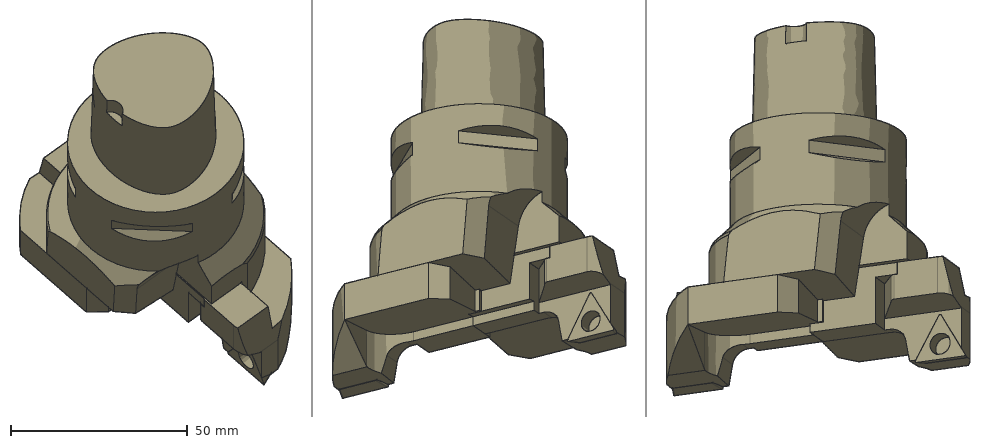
import cadquery as cq
import math

TOTAL_HEIGHT = 100.0
REACH_X = 45.0
BIG = 120.0

FLANGE_Z = 70.0
SHANK_HEIGHT = TOTAL_HEIGHT - FLANGE_Z
SHANK_BASE_RADIUS = 17.7
SHANK_TOP_RADIUS = 17.0
LOBE_HEIGHT = 1.1
SHANK_POINTS = 48
NOTCH_RADIUS = 3.6
NOTCH_CENTER_Y = -17.4
NOTCH_DEPTH = 5.4

FLANGE_RADIUS = 25.0
FLANGE_BOTTOM_Z = 42.7
CONE_BOTTOM_Z = 37.1
CONE_RADIUS = FLANGE_RADIUS + FLANGE_BOTTOM_Z - CONE_BOTTOM_Z
BODY_RADIUS = 31.0
BODY_TOP_Z = 36.0
SIDE_FLAT_X = 30.0
SEAT_OUTER_Y = 25.0
SEAT_OUTER_Z = 22.6
SEAT_INNER_Z = 19.9
BODY_WIDTH_Y = 53.9
FRONT_FLAT_TOP_Y = BODY_WIDTH_Y / 2
FRONT_FLAT_TOP_Z = FLANGE_RADIUS + FLANGE_BOTTOM_Z - FRONT_FLAT_TOP_Y

GRIPPER_COUNT = 4
GRIPPER_FLOOR_RADIUS = 22.2
GRIPPER_Z = 60.0
GRIPPER_FLOOR_HEIGHT = 3.7
GRIPPER_MOUTH_HEIGHT = 6.9

FLUTE_WALL_X = 16.5
FLUTE_WALL_SLOPE = 0.16
FLUTE_TOP_X = 24.6
FLUTE_TOP_Z = 46.1
BEVEL = 4.5

KEY_HALF_WIDTH = 5.8
KEY_TOP_Z = 28.3
KEY_CLEARANCE = 0.7

SLIDE_OUTER_X = 43.9
SLIDE_TOP_X = 41.0
SLIDE_LEAN_Z = 14.7
PAD_FRONT_Y = -6.0
CORNER_START_X = 39.4
CORNER_END_Y = -3.6
WING_ARC_START_Y = 6.9
WING_ARC_MID = (37.4, 17.6)
WING_FRONT_X = 29.4
WING_END_X = -2.8
WING_END_CHAMFER = 4.5
WING_TOE_X = -4.2
WING_TOE_Y = 6.8
WING_BOTTOM_OUTER_Z = 11.4
WING_BOTTOM_INNER_Z = 13.8
LEG_BOTTOM_Z = 0.7
LEG_BEVEL_Y = 12.9
LEG_BEVEL_Z = 1.4
ARCH_TOP_Z = 11.0
ARCH_TOP_X = 26.0
ARCH_FOOT_X = 28.0
ARCH_FILLET = 5.0
RELIEF_INNER_Y = 3.3
RELIEF_CORNER_RADIUS = 9.7
PAD_START_X = 27.0

POCKET_X = 20.2
POCKET_ROOF_INNER_Z = 14.4
POCKET_ROOF_OUTER_Z = 17.4
LIP_START = (24.6, -5.0)
LIP_MID = (25.2, -5.7)
LIP_END_X = 26.0
POCKET_GROOVE_TOP_Z = 24.8

INSERT_THICKNESS = 4.1
INSERT_INRADIUS = 4.6
INSERT_CORNER_RADIUS = 0.4
INSERT_RELIEF = 11.0
INSERT_HOLE_DIAMETER = 6.2
INSERT_SIDE = 2 * math.sqrt(3) * INSERT_INRADIUS
INSERT_X = REACH_X - INSERT_SIDE / 2 + INSERT_CORNER_RADIUS * (math.sqrt(3) - 1)
CUTTING_FACE_Y = 0.7


def turned(shape, angle):
    """Return the shape turned by an angle in degrees about the tool axis."""
    return shape.rotate((0, 0, 0), (0, 0, 1), angle)


def along_x(points, start, end):
    """Prism along X from a list of (y, z) points."""
    return cq.Workplane("YZ").workplane(offset=start).polyline(points).close().extrude(end - start)


def along_y(profile, start, end):
    """Prism along Y from a closed sketch of (x, z) points on the XZ plane."""
    return profile.extrude(start - end).translate((0, start, 0))


def block(x_range, y_range, z_range):
    """Axis-aligned block between the given limits."""
    size = [high - low for low, high in (x_range, y_range, z_range)]
    corner = (x_range[0], y_range[0], z_range[0])
    return cq.Workplane("XY").box(*size, centered=False).translate(corner)


def lobed_point(radius, angle):
    """Point on the three-lobed outline, one lobe towards +Y."""
    phase = 3 * (angle - math.pi / 2)
    support = radius + LOBE_HEIGHT * math.cos(phase)
    slope = -3 * LOBE_HEIGHT * math.sin(phase)
    x = support * math.cos(angle) - slope * math.sin(angle)
    y = support * math.sin(angle) + slope * math.cos(angle)
    return (x, y)


def lobed_outline(radius):
    return [lobed_point(radius, 2 * math.pi * i / SHANK_POINTS) for i in range(SHANK_POINTS)]


def make_shank():
    shank = (
        cq.Workplane("XY", origin=(0, 0, FLANGE_Z))
        .spline(lobed_outline(SHANK_BASE_RADIUS), periodic=True).close()
        .workplane(offset=SHANK_HEIGHT)
        .spline(lobed_outline(SHANK_TOP_RADIUS), periodic=True).close()
        .loft(ruled=True)
    )
    notch = (
        cq.Workplane("XY", origin=(0, NOTCH_CENTER_Y, TOTAL_HEIGHT - NOTCH_DEPTH))
        .circle(NOTCH_RADIUS).extrude(NOTCH_DEPTH)
    )
    return shank.cut(notch)


def make_turned_body():
    profile = [
        (0, FLANGE_Z),
        (FLANGE_RADIUS, FLANGE_Z),
        (FLANGE_RADIUS, FLANGE_BOTTOM_Z),
        (CONE_RADIUS, CONE_BOTTOM_Z),
        (BODY_RADIUS, BODY_TOP_Z),
        (BODY_RADIUS, 0),
        (0, 0),
    ]
    return cq.Workplane("XZ").polyline(profile).close().revolve(360, (0, 0, 0), (0, 1, 0))


def front_flat_y(z):
    """Half width between the two leaning flats at height z."""
    slope = (FRONT_FLAT_TOP_Y - SEAT_OUTER_Y) / (FRONT_FLAT_TOP_Z - SEAT_OUTER_Z)
    return SEAT_OUTER_Y + slope * (z - SEAT_OUTER_Z)


def make_side_envelope():
    """Prism with the side flats, leaning front flats, V-shaped seat and key slot."""
    slot_top = KEY_TOP_Z + KEY_CLEARANCE
    half = [
        (KEY_HALF_WIDTH, slot_top),
        (KEY_HALF_WIDTH, SEAT_INNER_Z),
        (SEAT_OUTER_Y, SEAT_OUTER_Z),
        (front_flat_y(FLANGE_Z), FLANGE_Z),
    ]
    mirrored = [(-y, z) for y, z in reversed(half)]
    return along_x(half + mirrored, -SIDE_FLAT_X, SIDE_FLAT_X)


def make_gripper_groove():
    """Straight trapezoidal groove across the +X side of the flange."""
    floor = GRIPPER_FLOOR_HEIGHT / 2
    mouth = GRIPPER_MOUTH_HEIGHT / 2
    profile = (
        cq.Workplane("XZ")
        .polyline([
            (GRIPPER_FLOOR_RADIUS, GRIPPER_Z - floor),
            (FLANGE_RADIUS, GRIPPER_Z - mouth),
            (FLANGE_RADIUS, GRIPPER_Z + mouth),
            (GRIPPER_FLOOR_RADIUS, GRIPPER_Z + floor),
        ]).close()
    )
    return along_y(profile, -FLANGE_RADIUS, FLANGE_RADIUS)


def flute_wall_x(z):
    return FLUTE_WALL_X + FLUTE_WALL_SLOPE * (z - CONE_BOTTOM_Z)


def make_flute():
    """Chip flute on the +X, -Y side: a leaning wall that curves out at the top."""
    profile = (
        cq.Workplane("XZ")
        .moveTo(flute_wall_x(0), 0)
        .lineTo(FLUTE_WALL_X, CONE_BOTTOM_Z)
        .tangentArcPoint((FLUTE_TOP_X, FLUTE_TOP_Z), relative=False)
        .lineTo(BIG, FLUTE_TOP_Z)
        .lineTo(BIG, 0)
        .close()
    )
    return along_y(profile, -BIG, -KEY_HALF_WIDTH)


def make_flute_bevel():
    """Leaning triangular prism that bevels the flute wall into the front flat."""
    height = FLANGE_BOTTOM_Z
    corner_x = flute_wall_x(0)
    corner_y = -front_flat_y(0)
    lean = cq.Vector(
        flute_wall_x(height) - corner_x,
        -front_flat_y(height) - corner_y,
        height,
    )
    triangle = cq.Wire.makePolygon(
        [
            cq.Vector(corner_x - 2 * BEVEL, corner_y - BEVEL, 0),
            cq.Vector(corner_x + BEVEL, corner_y + 2 * BEVEL, 0),
            cq.Vector(corner_x + BEVEL, corner_y - BEVEL, 0),
        ],
        close=True,
    )
    return cq.Workplane(cq.Solid.extrudeLinear(triangle, [], lean))


def make_holder():
    holder = make_turned_body().intersect(make_side_envelope())
    groove = make_gripper_groove()
    for i in range(GRIPPER_COUNT):
        angle = (i + 0.5) * 360 / GRIPPER_COUNT
        holder = holder.cut(turned(groove, angle))
    for cutter in (make_flute(), make_flute_bevel()):
        holder = holder.cut(cutter).cut(turned(cutter, 180))
    return holder.union(make_shank())


def make_insert_blank(face_y):
    """Triangular insert without its hole, cutting face at face_y looking to -Y."""
    half = INSERT_SIDE / 2
    apex = 3 * INSERT_INRADIUS
    return (
        cq.Workplane("XZ", origin=(INSERT_X, face_y, 0))
        .polyline([(-half, 0), (half, 0), (0, apex)]).close()
        .extrude(-INSERT_THICKNESS, taper=INSERT_RELIEF)
        .edges("not #Y").fillet(INSERT_CORNER_RADIUS)
    )


def make_insert(face_y):
    hole = (
        cq.Workplane("XZ", origin=(INSERT_X, face_y, INSERT_INRADIUS))
        .circle(INSERT_HOLE_DIAMETER / 2).extrude(-INSERT_THICKNESS)
    )
    return make_insert_blank(face_y).cut(hole)


def make_slide_blank():
    """Slide on the +X side: plan outline trimmed by its YZ section."""
    plan = (
        cq.Workplane("XY")
        .moveTo(0, PAD_FRONT_Y)
        .lineTo(CORNER_START_X, PAD_FRONT_Y)
        .tangentArcPoint((SLIDE_OUTER_X, CORNER_END_Y), relative=False)
        .lineTo(SLIDE_OUTER_X, WING_ARC_START_Y)
        .threePointArc(WING_ARC_MID, (WING_FRONT_X, SEAT_OUTER_Y))
        .lineTo(WING_END_X + WING_END_CHAMFER, SEAT_OUTER_Y)
        .lineTo(WING_END_X, SEAT_OUTER_Y - WING_END_CHAMFER)
        .lineTo(WING_END_X, WING_TOE_Y)
        .lineTo(WING_TOE_X, WING_TOE_Y)
        .lineTo(WING_TOE_X, KEY_HALF_WIDTH)
        .lineTo(0, KEY_HALF_WIDTH)
        .close()
        .extrude(KEY_TOP_Z)
    )
    section = [
        (PAD_FRONT_Y, KEY_TOP_Z),
        (KEY_HALF_WIDTH, KEY_TOP_Z),
        (KEY_HALF_WIDTH, SEAT_INNER_Z),
        (SEAT_OUTER_Y, SEAT_OUTER_Z),
        (SEAT_OUTER_Y, WING_BOTTOM_OUTER_Z),
        (LEG_BEVEL_Y, LEG_BEVEL_Z),
        (0, LEG_BOTTOM_Z),
        (PAD_FRONT_Y, LEG_BOTTOM_Z),
    ]
    return plan.intersect(along_x(section, -BIG, BIG))


def make_outer_lean():
    """Wedge that makes the outer end of the slide lean inwards."""
    profile = (
        cq.Workplane("XZ")
        .polyline([
            (SLIDE_OUTER_X, SLIDE_LEAN_Z),
            (SLIDE_TOP_X, KEY_TOP_Z),
            (BIG, KEY_TOP_Z),
            (BIG, SLIDE_LEAN_Z),
        ]).close()
    )
    return along_y(profile, -BIG, BIG)


def make_arch():
    """Arched opening between the legs."""
    profile = (
        cq.Workplane("XZ")
        .polyline([(-BIG, 0), (-BIG, ARCH_TOP_Z), (ARCH_TOP_X, ARCH_TOP_Z), (ARCH_FOOT_X, 0)]).close()
    )
    ceiling_edge = cq.selectors.NearestToPointSelector((ARCH_TOP_X, 0, ARCH_TOP_Z))
    return along_y(profile, -BIG, BIG).edges(ceiling_edge).fillet(ARCH_FILLET)


def make_wing_relief():
    """Space under the wing, milled up to the leg with a round inner corner."""
    corner_x = WING_FRONT_X - RELIEF_CORNER_RADIUS
    corner_y = RELIEF_INNER_Y + RELIEF_CORNER_RADIUS
    plan = (
        cq.Workplane("XY")
        .moveTo(-BIG, RELIEF_INNER_Y)
        .lineTo(corner_x, RELIEF_INNER_Y)
        .tangentArcPoint((WING_FRONT_X, corner_y), relative=False)
        .lineTo(WING_FRONT_X, SEAT_OUTER_Y)
        .lineTo(-BIG, SEAT_OUTER_Y)
        .close()
        .extrude(WING_BOTTOM_INNER_Z)
    )
    section = [
        (RELIEF_INNER_Y, 0),
        (RELIEF_INNER_Y, WING_BOTTOM_INNER_Z),
        (SEAT_OUTER_Y, WING_BOTTOM_OUTER_Z),
        (SEAT_OUTER_Y, 0),
    ]
    return plan.intersect(along_x(section, -BIG, BIG))


def make_chip_pocket(face_y):
    """Pocket in front of the cutting face, with a sloping roof."""
    roof = [
        (PAD_FRONT_Y, 0),
        (PAD_FRONT_Y, POCKET_ROOF_OUTER_Z),
        (face_y, POCKET_ROOF_INNER_Z),
        (face_y, 0),
    ]
    return along_x(roof, POCKET_X, BIG)


def make_pocket_groove(face_y):
    """Upright V groove at the inner end of the chip pocket, with a rounded lip."""
    return (
        cq.Workplane("XY")
        .moveTo(POCKET_X, PAD_FRONT_Y)
        .lineTo(POCKET_X, face_y)
        .lineTo(*LIP_START)
        .threePointArc(LIP_MID, (LIP_END_X, PAD_FRONT_Y))
        .close()
        .extrude(POCKET_GROOVE_TOP_Z)
    )


def make_key_relief():
    """Thin relief that leaves a slightly raised pad at the outer end of the key."""
    key_y = (PAD_FRONT_Y, -KEY_HALF_WIDTH)
    upper = block((0, PAD_START_X), key_y, (POCKET_GROOVE_TOP_Z, KEY_TOP_Z))
    lower = block((0, POCKET_X), key_y, (0, POCKET_GROOVE_TOP_Z))
    return upper.union(lower)


def make_slide(face_y):
    cutters = [
        make_pocket_groove(face_y),
        make_outer_lean(),
        make_arch(),
        make_wing_relief(),
        make_chip_pocket(face_y),
        make_key_relief(),
        make_insert_blank(face_y),
    ]
    slide = make_slide_blank()
    for cutter in cutters:
        slide = slide.cut(cutter)
    return slide


holder = make_holder()
through_relief = make_wing_relief()
slides = []
inserts = []
for angle, face_y in ((0, CUTTING_FACE_Y), (180, -CUTTING_FACE_Y)):
    slides.append(turned(make_slide(face_y), angle).cut(through_relief))
    inserts.append(turned(make_insert(face_y), angle))

result = cq.Compound.makeCompound([body.solids().val() for body in (holder, *slides, *inserts)])